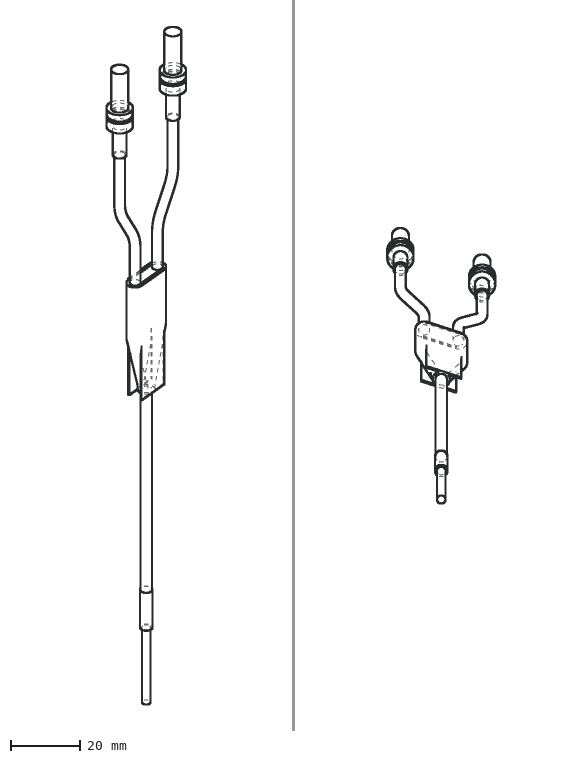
import cadquery as cq
import math

TOP_Z = 226.0
COLLAR_TOP_Z = 212.8
GROOVE_Z = 210.0
COLLAR_BOTTOM_Z = 206.5
BOOT_BOTTOM_Z = 196.5
BEND_TOP_Z = 179.3
PLATE_TOP_Z = 148.8
CORE_TOP_Z = 148.3
SHOULDER_Z = 128.9
TAPER_BOTTOM_Z = 110.0
BLOCK_BOTTOM_Z = 108.5
SLEEVE_TOP_Z = 39.1
SLEEVE_BOTTOM_Z = 26.0
FIBRE_TIP_Z = 0.0

SIDES = (-1, 1)

CONNECTOR_OFFSET = 12.5
COLLAR_DIAMETER = 7.7
FERRULE_DIAMETER = 5.0
BOOT_DIAMETER = 4.0
GROOVE_WIDTH = 0.7
GROOVE_DEPTH = 0.2

BRANCH_DIAMETER = 3.2
BEND_ANGLE = 30.0
BEND_RADIUS = 11.8

BLOCK_THICKNESS = 5.0
CORE_WIDTH = 10.6
BRANCH_OFFSET = 5.2
PLATE_THICKNESS = 0.5
PLATE_INSET = 0.05

TRUNK_DIAMETER = 3.5
SLEEVE_DIAMETER = 3.6
FIBRE_DIAMETER = 2.5


def cylinder(diameter, bottom_z, top_z, y=0.0):
    """Upright cylinder between two heights, centred at x = 0."""
    return cq.Workplane("XY", origin=(0, y, bottom_z)).circle(diameter / 2).extrude(top_z - bottom_z)


def make_branch(side):
    """Cable that leaves the block upright, bends outward and turns upright again."""
    angle = math.radians(BEND_ANGLE)
    arc_rise = BEND_RADIUS * math.sin(angle)
    arc_shift = BEND_RADIUS * (1 - math.cos(angle))
    slant_shift = CONNECTOR_OFFSET - BRANCH_OFFSET - 2 * arc_shift
    slant_rise = slant_shift / math.tan(angle)
    bend_bottom_z = BEND_TOP_Z - 2 * arc_rise - slant_rise
    path = (
        cq.Workplane("YZ")
        .moveTo(side * BRANCH_OFFSET, CORE_TOP_Z)
        .lineTo(side * BRANCH_OFFSET, bend_bottom_z)
        .tangentArcPoint((side * (BRANCH_OFFSET + arc_shift), bend_bottom_z + arc_rise), relative=False)
        .lineTo(side * (CONNECTOR_OFFSET - arc_shift), BEND_TOP_Z - arc_rise)
        .tangentArcPoint((side * CONNECTOR_OFFSET, BEND_TOP_Z), relative=False)
        .lineTo(side * CONNECTOR_OFFSET, BOOT_BOTTOM_Z)
    )
    return (
        cq.Workplane("XY", origin=(0, side * BRANCH_OFFSET, CORE_TOP_Z))
        .circle(BRANCH_DIAMETER / 2)
        .sweep(path)
    )


def make_connector(side):
    """Connector made of a ferrule, grooved collar and boot on one axis."""
    y = side * CONNECTOR_OFFSET
    collar = cylinder(COLLAR_DIAMETER, COLLAR_BOTTOM_Z, COLLAR_TOP_Z, y)
    groove_bottom_z = GROOVE_Z - GROOVE_WIDTH / 2
    groove_top_z = GROOVE_Z + GROOVE_WIDTH / 2
    groove = cylinder(COLLAR_DIAMETER, groove_bottom_z, groove_top_z, y).cut(
        cylinder(COLLAR_DIAMETER - 2 * GROOVE_DEPTH, groove_bottom_z, groove_top_z, y)
    )
    ferrule = cylinder(FERRULE_DIAMETER, COLLAR_TOP_Z, TOP_Z, y)
    boot = cylinder(BOOT_DIAMETER, BOOT_BOTTOM_Z, COLLAR_BOTTOM_Z, y)
    return collar.cut(groove).union(ferrule).union(boot)


def make_core_taper():
    """Lower part of the block core: the rounded outline narrows evenly to a circle."""
    radius = BLOCK_THICKNESS / 2
    half_flat = CORE_WIDTH / 2
    taper = (
        cq.Workplane("YZ")
        .polyline([(-half_flat, SHOULDER_Z), (half_flat, SHOULDER_Z), (0, TAPER_BOTTOM_Z)])
        .close()
        .extrude(radius, both=True)
    )
    for side in SIDES:
        slanted_side = (
            cq.Workplane("XY", origin=(0, 0, TAPER_BOTTOM_Z))
            .circle(radius)
            .workplane(offset=SHOULDER_Z - TAPER_BOTTOM_Z)
            .center(0, side * half_flat)
            .circle(radius)
            .loft(ruled=True)
        )
        taper = taper.union(slanted_side)
    return taper


def make_block():
    """Splitter block: a rounded core that tapers to a short round neck, faced by two flat plates."""
    block = (
        cq.Workplane("XY", origin=(0, 0, SHOULDER_Z))
        .slot2D(CORE_WIDTH + BLOCK_THICKNESS, BLOCK_THICKNESS, 90)
        .extrude(CORE_TOP_Z - SHOULDER_Z)
        .union(make_core_taper())
        .union(cylinder(BLOCK_THICKNESS, BLOCK_BOTTOM_Z, TAPER_BOTTOM_Z))
    )
    for side in SIDES:
        plate = cq.Workplane("XY").box(PLATE_THICKNESS, CORE_WIDTH, PLATE_TOP_Z - BLOCK_BOTTOM_Z)
        plate_x = side * ((BLOCK_THICKNESS - PLATE_THICKNESS) / 2 - PLATE_INSET)
        block = block.union(plate.translate((plate_x, 0, (PLATE_TOP_Z + BLOCK_BOTTOM_Z) / 2)))
    return block


branches = [make_branch(side) for side in SIDES]
connectors = [make_connector(side) for side in SIDES]
block = make_block()
trunk = cylinder(TRUNK_DIAMETER, SLEEVE_TOP_Z, BLOCK_BOTTOM_Z)
sleeve = cylinder(SLEEVE_DIAMETER, SLEEVE_BOTTOM_Z, SLEEVE_TOP_Z)
fibre = cylinder(FIBRE_DIAMETER, FIBRE_TIP_Z, SLEEVE_BOTTOM_Z)

result = cq.Compound.makeCompound(
    [
        *[branch.val() for branch in branches],
        *[connector.val() for connector in connectors],
        block.val(),
        trunk.val(),
        sleeve.val(),
        fibre.val(),
    ]
)